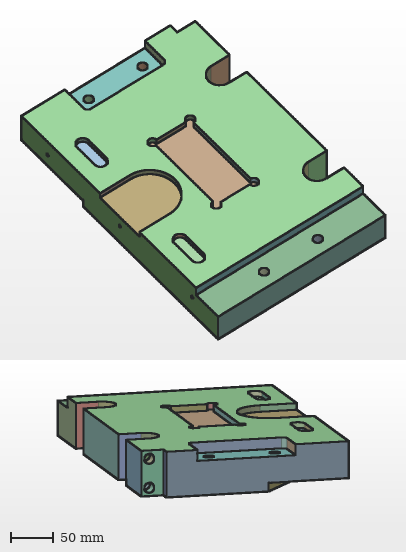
import cadquery as cq

LENGTH = 375.0
WIDTH = 250.0
HEIGHT = 55.0
MID_X = LENGTH / 2
MID_Y = WIDTH / 2

LEDGE_WIDTH = 42.0
LEDGE_DEPTH = 13.0
LEFT_LEDGE_LENGTH = 120.0
LEFT_LEDGE_RADIUS = 5.5
CORNER_NOTCH_X = 13.0
CORNER_NOTCH_Y = 27.0
UNDERCUT_X = 117.8
UNDERCUT_Y = 98.2
UNDERCUT_HEIGHT = 10.5

SLOT_SPACING = 185.2
BACK_SLOT_WIDTH = 32.5
BACK_SLOT_DEPTH = 44.0
FRONT_SLOT_LENGTH = 51.0
FRONT_SLOT_WIDTH = 17.2
FRONT_SLOT_Y = 30.8
FRONT_SLOT_DEPTH = 6.8

POCKET_DEPTH = 8.0
POCKET_LENGTH = 121.0
POCKET_WIDTH = 56.2
ARCH_WIDTH = 75.0
ARCH_LENGTH = 82.5

HOLE_DIAMETER = 12.0
LEDGE_HOLE_INSET = 20.5
LEDGE_HOLE_SPACING = 80.5
BLIND_HOLE_DEPTH = 18.8
SIDE_HOLE_INSET = 9.8
SIDE_HOLE_SPACING = 35.0
SIDE_HOLE_MID_Z = HEIGHT / 2
PIN_HOLE_DIAMETER = 3.5
PIN_HOLE_SPACING = 137.5
PIN_HOLE_Z = 30.5
PIN_HOLE_DEPTH = 11.2


def box(x, y, z, length, width, height):
    """Box given by its lower left front corner and its sizes."""
    return cq.Workplane("XY").box(length, width, height, centered=False).translate((x, y, z))


def cylinder(start, direction, diameter, depth):
    """Cylinder running from its start point along a direction."""
    solid = cq.Solid.makeCylinder(diameter / 2, depth, cq.Vector(*start), cq.Vector(*direction))
    return cq.Workplane(solid)


def left_ledge():
    """Recess open to the left side, with its two inner corners rounded."""
    recess = box(
        0, MID_Y - LEFT_LEDGE_LENGTH / 2, HEIGHT - LEDGE_DEPTH,
        LEDGE_WIDTH, LEFT_LEDGE_LENGTH, LEDGE_DEPTH,
    )
    return recess.edges("|Z and >X").fillet(LEFT_LEDGE_RADIUS)


def right_ledge():
    """Step along the whole right edge."""
    return box(LENGTH - LEDGE_WIDTH, 0, HEIGHT - LEDGE_DEPTH, LEDGE_WIDTH, WIDTH, LEDGE_DEPTH)


def corner_undercut():
    """Triangular relief under the front left corner."""
    outline = [(0, 0), (UNDERCUT_X, 0), (0, UNDERCUT_Y)]
    return cq.Workplane("XY").polyline(outline).close().extrude(UNDERCUT_HEIGHT)


def back_slot(x):
    """Round-ended slot through the plate, open at the back."""
    radius = BACK_SLOT_WIDTH / 2
    straight = BACK_SLOT_DEPTH - radius
    end_y = WIDTH - straight
    slot = box(x - radius, end_y, 0, BACK_SLOT_WIDTH, straight, HEIGHT)
    return slot.union(cylinder((x, end_y, 0), (0, 0, 1), BACK_SLOT_WIDTH, HEIGHT))


def front_slot(x):
    """Shallow round-ended slot in the top face."""
    plane = cq.Workplane("XY", origin=(x, FRONT_SLOT_Y, HEIGHT))
    return plane.slot2D(FRONT_SLOT_LENGTH, FRONT_SLOT_WIDTH).extrude(-FRONT_SLOT_DEPTH)


def center_pocket():
    """Rectangular pocket with a round relief at each corner."""
    plane = cq.Workplane("XY", origin=(MID_X, MID_Y, HEIGHT))
    corners = plane.rarray(POCKET_LENGTH, POCKET_WIDTH, 2, 2)
    reliefs = corners.circle(HOLE_DIAMETER / 2).extrude(-POCKET_DEPTH)
    return plane.rect(POCKET_LENGTH, POCKET_WIDTH).extrude(-POCKET_DEPTH).union(reliefs)


def arch_pocket():
    """Pocket with a round inner end, open at the front."""
    radius = ARCH_WIDTH / 2
    straight = ARCH_LENGTH - radius
    floor_z = HEIGHT - POCKET_DEPTH
    pocket = box(MID_X - radius, 0, floor_z, ARCH_WIDTH, straight, POCKET_DEPTH)
    return pocket.union(cylinder((MID_X, straight, floor_z), (0, 0, 1), ARCH_WIDTH, POCKET_DEPTH))


result = box(0, 0, 0, LENGTH, WIDTH, HEIGHT)
result = result.cut(left_ledge()).cut(right_ledge()).cut(corner_undercut())
result = result.cut(box(0, WIDTH - CORNER_NOTCH_Y, 0, CORNER_NOTCH_X, CORNER_NOTCH_Y, HEIGHT))
result = result.cut(center_pocket()).cut(arch_pocket())

for side in (-1, 1):
    slot_x = MID_X + side * SLOT_SPACING / 2
    result = result.cut(back_slot(slot_x)).cut(front_slot(slot_x))

    hole_y = MID_Y + side * LEDGE_HOLE_SPACING / 2
    ledge_z = HEIGHT - LEDGE_DEPTH
    left_start = (LEDGE_HOLE_INSET, hole_y, ledge_z)
    right_start = (LENGTH - LEDGE_HOLE_INSET, hole_y, ledge_z)
    result = result.cut(cylinder(left_start, (0, 0, -1), HOLE_DIAMETER, BLIND_HOLE_DEPTH))
    result = result.cut(cylinder(right_start, (0, 0, -1), HOLE_DIAMETER, ledge_z))

    side_hole_start = (CORNER_NOTCH_X, WIDTH - SIDE_HOLE_INSET, SIDE_HOLE_MID_Z + side * SIDE_HOLE_SPACING / 2)
    result = result.cut(cylinder(side_hole_start, (1, 0, 0), HOLE_DIAMETER, BLIND_HOLE_DEPTH))

for index in (-1, 0, 1):
    pin_start = (MID_X + index * PIN_HOLE_SPACING, 0, PIN_HOLE_Z)
    result = result.cut(cylinder(pin_start, (0, 1, 0), PIN_HOLE_DIAMETER, PIN_HOLE_DEPTH))